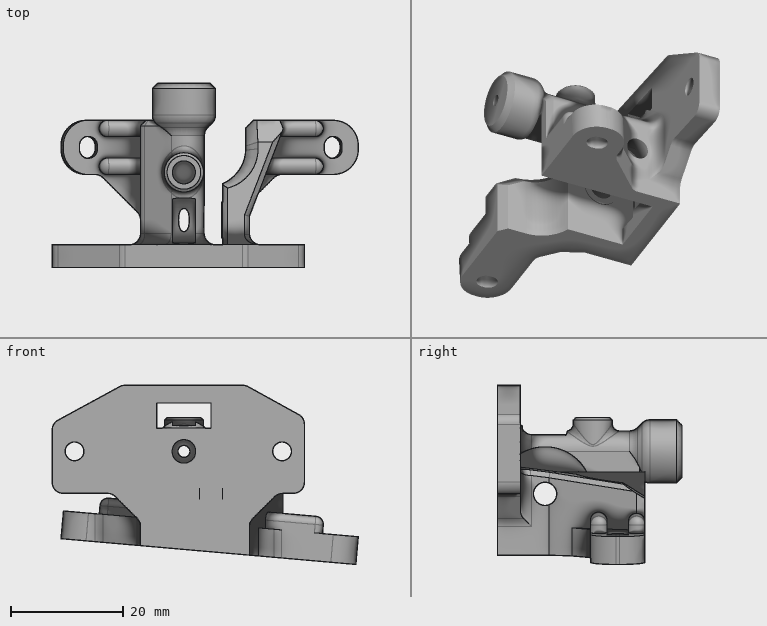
import cadquery as cq
import math


tolerance = 0.05
margin = 1.0

plate_thickness = 4.1
plate_top = 11.8
plate_left, plate_right = -23.5, 21.5
plate_center_x = (plate_left + plate_right) / 2
top_half_width = 11.0
left_shoulder_z, right_shoulder_z = 5.0, 6.0
wing_bottom = -7.5
trunk_left, trunk_right = -7.75, 11.7
trunk_flare = 5.05
plate_corner_radius = 2.0
mount_hole_diameter = 3.3
mount_hole_spacing = 37.0
window_width, window_bottom, window_top = 9.6, 4.15, 8.6
below_base = -30.0

housing_rear = 26.3
rod_radius = 3.65
roof_angle = 38.0
roof_corner_radius = 2.0
housing_rear_chamfer = 1.0
foot_fillet = 2.0

bore_diameter = 2.1
tube_socket_diameter = 4.2
tube_socket_depth = 3.5

collar_radius = 5.65
collar_rear = 32.92
collar_chamfer = 1.0
collar_neck_y = 23.55
collar_blend_radius = 2.0

boss_radius = 3.5
boss_top = 6.05
boss_y = 17.0
boss_chamfer = 0.5
boss_fillet = 1.2
boss_hole_diameter = 4.1
boss_hole_floor = 1.5

axle_y, axle_z = 8.5, -7.57
axle_hole_diameter = 4.1
cavity_left = -5.0
cavity_top = -rod_radius
gear_clearance_radius = 8.39
gear_left = 2.75
hob_clearance_radius = 7.2
idler_slot_width = 4.15
idler_slot_radius = 4.07
idler_slot_floor = 0.5

arm_inner = 6.9
arm_recess_x = 11.0
cove_start_y, cove_end_y = 15.0, 21.2
arm_bend_y = 9.2
arm_rear_x = 18.3
arm_inner_rear_chamfer = 1.4
arm_outer_rear_chamfer = (0.6, 1.5)
arm_edge_chamfer = 0.9
recess_bevel_width = 2.2
cove_bevel_radius = 7.27
roof_ridge_y = 22.4
roof_ridge_height = 13.0
roof_front_angle = 7.2
roof_rear_angle = 32.0
axle_washer_radius = 3.2
axle_washer_height = 0.2

base_tilt = 5.0
base_center_x, base_center_z = 4.37, -17.88
base_thickness = 5.0
ear_hole_half_spacing = 21.9
ear_radius = 4.5
ear_slot_travel = 0.7
ear_slot_diameter = 3.2
ear_width = 2 * ear_radius + ear_slot_travel
ear_front = housing_rear - ear_width
ear_center_y = housing_rear - ear_width / 2
left_gusset_x, right_gusset_x = -15.0, 16.6
gusset_fillet = 2.0
gusset_overlap = 1.5
rib_width = 2.95
rib_wall_height = 1.5
rib_half_length = 20.0

tilt = math.radians(base_tilt)
base_plane = cq.Plane(
    origin=(base_center_x, 0, base_center_z),
    xDir=(math.cos(tilt), 0, -math.sin(tilt)),
    normal=(math.sin(tilt), 0, math.cos(tilt)),
)


def along_y(y_start):
    """Sketch plane with X right and Z up whose extrusions run toward +Y."""
    return cq.Workplane(cq.Plane(origin=(0, y_start, 0), xDir=(1, 0, 0), normal=(0, -1, 0)))


def prism_y(points, y_start, y_end):
    """Prism of an X-Z outline between two Y positions."""
    return along_y(y_start).polyline(points).close().extrude(y_start - y_end)


def box(x_range, y_range, z_range):
    lower = [r[0] for r in (x_range, y_range, z_range)]
    size = [r[1] - r[0] for r in (x_range, y_range, z_range)]
    return cq.Workplane("XY").box(*size, centered=False).translate(tuple(lower))


def cylinder_x(radius, x_range, y, z):
    return (
        cq.Workplane("YZ", origin=(x_range[0], 0, 0))
        .center(y, z).circle(radius).extrude(x_range[1] - x_range[0])
    )


def cylinder_y(radius, y_range, x=0, z=0):
    return along_y(y_range[0]).center(x, z).circle(radius).extrude(y_range[0] - y_range[1])


def plate_outline(y_end):
    """Plate silhouette from Y = 0 to y_end, running down past the tilted base."""
    points = [
        (-top_half_width, plate_top),
        (top_half_width, plate_top),
        (plate_right, right_shoulder_z),
        (plate_right, wing_bottom),
        (trunk_right + trunk_flare, wing_bottom),
        (trunk_right, wing_bottom - trunk_flare),
        (trunk_right, below_base),
        (trunk_left, below_base),
        (trunk_left, wing_bottom - trunk_flare),
        (trunk_left - trunk_flare, wing_bottom),
        (plate_left, wing_bottom),
        (plate_left, left_shoulder_z),
    ]
    blank = prism_y(points, 0, y_end)
    above_base = cq.selectors.BoxSelector(
        (plate_left - margin, -margin, wing_bottom - trunk_flare - margin),
        (plate_right + margin, y_end + margin, plate_top + margin),
    )
    return blank.edges("|Y").edges(above_base).fillet(plate_corner_radius)


def housing_block():
    """Left housing: wall, sloping roof and the rounded rod around the filament."""
    slope = math.radians(roof_angle)
    tangent_x = -rod_radius * math.sin(slope)
    tangent_z = rod_radius * math.cos(slope)
    eave_z = tangent_z - (tangent_x - trunk_left) * math.tan(slope)
    arc_angle = (math.pi / 2 - slope) / 2
    arc_mid = (rod_radius * math.sin(arc_angle), rod_radius * math.cos(arc_angle))
    block = (
        along_y(0)
        .moveTo(trunk_left, below_base)
        .lineTo(trunk_left, eave_z)
        .lineTo(tangent_x, tangent_z)
        .threePointArc(arc_mid, (rod_radius, 0))
        .lineTo(rod_radius, below_base)
        .close()
        .extrude(-housing_rear)
    )
    eave = cq.selectors.NearestToPointSelector((trunk_left, housing_rear / 2, eave_z))
    block = block.edges("|Y").edges(eave).fillet(roof_corner_radius)
    rear_edges = cq.selectors.BoxSelector(
        (trunk_left - margin, housing_rear - tolerance, below_base + margin),
        (tangent_x, housing_rear + tolerance, tangent_z),
    )
    return block.edges(rear_edges).chamfer(housing_rear_chamfer)


def cove_midpoint():
    """Middle of the cove arc, which leaves the arm's recessed inner side tangentially."""
    depth = arm_recess_x - arm_inner
    length = cove_end_y - cove_start_y
    radius = (length**2 + depth**2) / (2 * depth)
    half_sweep = math.asin(length / radius) / 2
    return (
        arm_recess_x - radius * (1 - math.cos(half_sweep)),
        cove_end_y - radius * math.sin(half_sweep),
    )


def arm():
    """Right arm: coved inner side, flared outer side and a roof falling to front and rear."""
    outer_cut_x, outer_cut_y = arm_outer_rear_chamfer
    rear_corner_x = arm_rear_x - outer_cut_x
    rear_edge_x = rear_corner_x - outer_cut_x
    walls = (
        cq.Workplane("XY", origin=(0, 0, below_base))
        .moveTo(arm_inner, 0)
        .lineTo(arm_inner, cove_start_y)
        .threePointArc(cove_midpoint(), (arm_recess_x, cove_end_y))
        .lineTo(arm_recess_x, housing_rear - arm_inner_rear_chamfer)
        .lineTo(arm_recess_x + arm_inner_rear_chamfer, housing_rear)
        .lineTo(rear_edge_x, housing_rear)
        .lineTo(rear_corner_x, housing_rear - outer_cut_y)
        .lineTo(trunk_right, arm_bend_y)
        .lineTo(trunk_right, 0)
        .close()
        .extrude(plate_top - below_base)
    )
    front_height = roof_ridge_height + roof_ridge_y * math.tan(math.radians(roof_front_angle))
    rear_run = housing_rear + margin - roof_ridge_y
    rear_height = roof_ridge_height - rear_run * math.tan(math.radians(roof_rear_angle))
    half_span = plate_right - plate_left
    under_roof = (
        cq.Workplane(cq.Plane(origin=base_plane.origin, xDir=(0, 1, 0), normal=base_plane.xDir))
        .polyline([
            (0, front_height),
            (roof_ridge_y, roof_ridge_height),
            (roof_ridge_y + rear_run, rear_height),
            (roof_ridge_y + rear_run, below_base),
            (0, below_base),
        ])
        .close()
        .extrude(half_span, both=True)
    )
    blank = walls.intersect(under_roof)
    along_ridge = cq.selectors.ParallelDirSelector(base_plane.xDir)
    beveled = blank.faces(">Z").edges(-along_ridge).chamfer(arm_edge_chamfer)
    return beveled.cut(recess_bevel())


def recess_bevel():
    """Wide bevel along the roof edge above the cove and the recessed inner side."""
    ridge_x = (arm_recess_x - base_center_x - roof_ridge_height * math.sin(tilt)) / math.cos(tilt)
    ridge_end = base_plane.toWorldCoords((ridge_x, roof_ridge_y, roof_ridge_height))
    width = recess_bevel_width

    def roof_fall(angle):
        """Unit vector running rearward down a roof of the given angle."""
        slope = math.radians(angle)
        return cq.Vector(0, math.cos(slope), 0) - base_plane.zDir * math.sin(slope)

    def wedge(start, direction, length):
        plane = cq.Plane(origin=start, xDir=base_plane.xDir, normal=direction)
        section = [(0, -width), (2 * width, -width), (0, width)]
        return cq.Workplane(plane).polyline(section).close().extrude(length)

    front_fall = roof_fall(roof_front_angle)
    front_length = (roof_ridge_y - cove_end_y) / front_fall.y
    cove_end = ridge_end - front_fall * front_length
    front_wedge = wedge(cove_end, front_fall, front_length)
    rear_wedge = wedge(ridge_end, roof_fall(roof_rear_angle), collar_rear - roof_ridge_y)

    roof_normal = base_plane.xDir.cross(front_fall)
    cone_center = cove_end + base_plane.xDir * (width - cove_bevel_radius)
    cone_radius = cove_bevel_radius + width
    cone = cq.Solid.makeCone(
        cone_radius, 0, cone_radius, cone_center + roof_normal * width, roof_normal * -1
    )
    return front_wedge.union(rear_wedge).union(cq.Workplane(cone))


def foot(block, right_arm):
    """Plate with the fillets that join the housing and the arm to its rear face."""
    flange = box((2 * plate_left, 2 * plate_right), (0, plate_thickness), (below_base, 2 * plate_top))
    behind_plate = plate_thickness + foot_fillet
    joined = flange.union(block).union(right_arm)
    arm_side = trunk_right - arm_edge_chamfer

    def is_seam(edge):
        """True on the plate's rear face along the housing or the outer side of the arm."""
        bounds, center = edge.BoundingBox(), edge.Center()
        on_plate = max(abs(bounds.ymin - plate_thickness), abs(bounds.ymax - plate_thickness)) < tolerance
        above_bottom = center.z > below_base + tolerance
        beside = center.x < rod_radius + tolerance or center.x > arm_side - tolerance
        inside_flange = abs(center.x) < plate_right and center.z < plate_top
        return on_plate and above_bottom and beside and inside_flange

    seam = [edge for edge in joined.edges().vals() if is_seam(edge)]
    joined = joined.newObject(seam).fillet(foot_fillet)
    return joined.intersect(plate_outline(behind_plate))


def collar():
    """Stepped rear collar, blended into the rod through a 45 degree cone."""
    r = collar_blend_radius
    quarter = math.pi / 4
    dip, run = r * (1 - math.cos(quarter)), r * math.sin(quarter)
    half_dip, half_run = r * (1 - math.cos(quarter / 2)), r * math.sin(quarter / 2)
    cone_rise = collar_radius - rod_radius - 2 * dip
    shoulder_y = collar_neck_y + 2 * run + cone_rise
    profile = (
        cq.Workplane("XY")
        .moveTo(0, collar_neck_y)
        .lineTo(rod_radius, collar_neck_y)
        .threePointArc(
            (rod_radius + half_dip, collar_neck_y + half_run),
            (rod_radius + dip, collar_neck_y + run),
        )
        .lineTo(collar_radius - dip, shoulder_y - run)
        .threePointArc(
            (collar_radius - half_dip, shoulder_y - half_run),
            (collar_radius, shoulder_y),
        )
        .lineTo(collar_radius, collar_rear - collar_chamfer)
        .lineTo(collar_radius - collar_chamfer, collar_rear)
        .lineTo(0, collar_rear)
        .close()
    )
    return profile.revolve(360, (0, 0, 0), (0, 1, 0))


def add_boss(block):
    """Housing block with the top boss filleted onto it."""
    boss = (
        cq.Workplane("XY", origin=(0, boss_y, 0))
        .circle(boss_radius).extrude(boss_top).faces(">Z").chamfer(boss_chamfer)
    )
    joined = block.union(boss)

    def is_seam(edge):
        """True on the boss wall below its rim."""
        point = edge.startPoint()
        on_wall = abs(math.hypot(point.x, point.y - boss_y) - boss_radius) < tolerance
        below_rim = edge.BoundingBox().zmax < boss_top - boss_chamfer - tolerance
        return on_wall and below_rim and edge.geomType() != "LINE"

    seam = [edge for edge in joined.edges().vals() if is_seam(edge)]
    return joined.newObject(seam).fillet(boss_fillet)


def rib(y):
    """Round-topped rib across the base, with ball ends."""
    r = rib_width / 2
    half_straight = rib_half_length - r
    base_top = cq.Workplane(base_plane).workplane(offset=base_thickness).center(0, y)
    wall = base_top.slot2D(2 * rib_half_length, rib_width).extrude(rib_wall_height)
    ridge_plane = cq.Plane(
        origin=base_plane.toWorldCoords((-half_straight, y, base_thickness + rib_wall_height)),
        xDir=(0, 1, 0), normal=base_plane.xDir,
    )
    ridge = cq.Workplane(ridge_plane).circle(r).extrude(2 * half_straight)
    solid = wall.union(ridge)
    for side in (-1, 1):
        center = base_plane.toWorldCoords((side * half_straight, y, base_thickness + rib_wall_height))
        solid = solid.union(cq.Workplane("XY").sphere(r).translate(center.toTuple()))
    return solid


def gusset():
    """Upright-sided web from the trunk out to both ears, with rounded inner corners."""
    right_foot_y = ear_front - (right_gusset_x - trunk_right)
    left_foot_y = ear_front - (trunk_left - left_gusset_x)
    corners = [
        (left_gusset_x, ear_front),
        (right_gusset_x, ear_front),
        (trunk_right, right_foot_y),
        (trunk_left, left_foot_y),
    ]
    outline = [
        (left_gusset_x - gusset_overlap, ear_front + gusset_overlap),
        (right_gusset_x + gusset_overlap, ear_front + gusset_overlap),
        (right_gusset_x + gusset_overlap, ear_front),
        (right_gusset_x, ear_front),
        (trunk_right, right_foot_y),
        (trunk_right, right_foot_y - gusset_overlap),
        (trunk_left, left_foot_y - gusset_overlap),
        (trunk_left, left_foot_y),
        (left_gusset_x, ear_front),
        (left_gusset_x - gusset_overlap, ear_front),
    ]
    web = cq.Workplane("XY", origin=(0, 0, below_base)).polyline(outline).close().extrude(-below_base)
    for x, y in corners:
        corner = cq.selectors.NearestToPointSelector((x, y, below_base / 2))
        web = web.edges("|Z").edges(corner).fillet(gusset_fillet)
    span = 2 * (plate_right - plate_left)
    return web.intersect(cq.Workplane(base_plane).rect(span, span).extrude(base_thickness))


def base():
    """Tilted base: two ears with slotted holes, gussets toward the trunk, and ribs."""
    half_length = ear_hole_half_spacing
    slab = (
        cq.Workplane(base_plane)
        .center(0, ear_center_y)
        .rect(2 * (half_length + ear_radius), ear_width)
        .extrude(base_thickness)
        .edges(cq.selectors.ParallelDirSelector(base_plane.zDir))
        .fillet(ear_radius)
    )
    solid = slab.union(gusset())
    for y in (housing_rear - rib_width / 2, ear_front + rib_width / 2):
        solid = solid.union(rib(y))
    slots = (
        cq.Workplane(base_plane)
        .center(0, ear_center_y)
        .pushPoints([(-half_length, 0), (half_length, 0)])
        .slot2D(ear_slot_diameter + ear_slot_travel, ear_slot_diameter, 90)
        .extrude(base_thickness)
    )
    return solid.cut(slots)


def below_base_plane():
    """Everything under the tilted bottom face."""
    span = 4 * (plate_right - plate_left)
    return cq.Workplane(base_plane).rect(span, span).extrude(below_base)


def drive_cavity():
    """Space under the filament for the drive wheel, open to the rear and below."""
    room = (
        cq.Workplane("XY", origin=(0, 0, below_base))
        .moveTo(cavity_left, plate_thickness)
        .lineTo(arm_inner, plate_thickness)
        .lineTo(arm_inner, cove_start_y)
        .threePointArc(cove_midpoint(), (arm_recess_x, cove_end_y))
        .lineTo(arm_recess_x, housing_rear - arm_inner_rear_chamfer)
        .lineTo(arm_recess_x + arm_inner_rear_chamfer, housing_rear)
        .lineTo(cavity_left, housing_rear)
        .close()
        .extrude(cavity_top - below_base)
    )
    gear = cylinder_x(gear_clearance_radius, (gear_left, arm_inner), axle_y, axle_z)
    hob_half = idler_slot_width / 2
    hob = cylinder_x(hob_clearance_radius, (-hob_half, hob_half), axle_y, axle_z)
    return room.union(gear).union(hob)


def idler_slot():
    """Round-bottomed slot above the filament, open upward."""
    half = idler_slot_width / 2
    center_z = idler_slot_floor + idler_slot_radius
    round_floor = cylinder_x(idler_slot_radius, (-half, half), axle_y, center_z)
    opening = box(
        (-half, half), (plate_thickness, axle_y + idler_slot_radius), (center_z, plate_top)
    )
    return round_floor.union(opening)


def filament_path():
    """Bore along Y with a wider tube socket at the mounting face."""
    bore = cylinder_y(bore_diameter / 2, (0, collar_rear))
    socket = cylinder_y(tube_socket_diameter / 2, (0, tube_socket_depth))
    return bore.union(socket)


def plate_openings():
    """Window and the two mounting holes."""
    half_spacing = mount_hole_spacing / 2
    openings = box((-window_width / 2, window_width / 2), (0, plate_thickness), (window_bottom, window_top))
    for side in (-1, 1):
        x = plate_center_x + side * half_spacing
        openings = openings.union(cylinder_y(mount_hole_diameter / 2, (0, plate_thickness), x))
    return openings


block = add_boss(housing_block().union(collar()))
right_arm = arm()
body = block.union(foot(block, right_arm)).union(base()).cut(drive_cavity())
washer = cylinder_x(axle_washer_radius, (arm_inner - axle_washer_height, arm_inner), axle_y, axle_z)
body = body.union(right_arm).union(washer)
axle_hole = cylinder_x(axle_hole_diameter / 2, (plate_left, plate_right), axle_y, axle_z)
boss_hole = (
    cq.Workplane("XY", origin=(0, boss_y, boss_hole_floor))
    .circle(boss_hole_diameter / 2).extrude(plate_top)
)
cutters = (idler_slot(), filament_path(), plate_openings(), axle_hole, boss_hole, below_base_plane())
for cutter in cutters:
    body = body.cut(cutter)
result = body